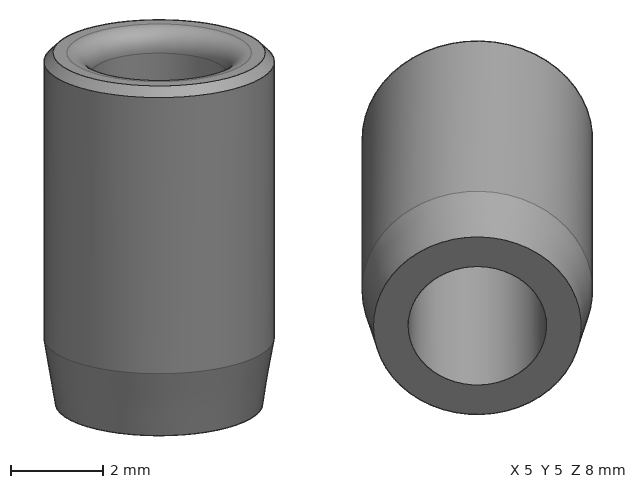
import cadquery as cq

outer_diameter = 5.0
bore_diameter = 3.0
length = 8.0

top_chamfer = 0.2
mouth_radius = 0.5
tip_diameter = 4.5
tip_length = 1.5

outer_radius = outer_diameter / 2
bore_radius = bore_diameter / 2
tip_radius = tip_diameter / 2


def make_body():
    """Solid cylinder with a tapered lower end and a chamfered top rim."""
    half_section = (
        cq.Workplane("XZ")
        .moveTo(0, 0)
        .lineTo(tip_radius, 0)
        .lineTo(outer_radius, tip_length)
        .lineTo(outer_radius, length - top_chamfer)
        .lineTo(outer_radius - top_chamfer, length)
        .lineTo(0, length)
        .close()
    )
    return half_section.revolve(360, (0, 0, 0), (0, 1, 0))


def cut_bore(body):
    """Cut the through bore and round its mouth at the top."""
    bored = body.faces(">Z").workplane().circle(bore_radius).cutThruAll()
    mouth_edge = bored.faces(">Z").edges(cq.selectors.RadiusNthSelector(0))
    return mouth_edge.fillet(mouth_radius)


result = cut_bore(make_body())